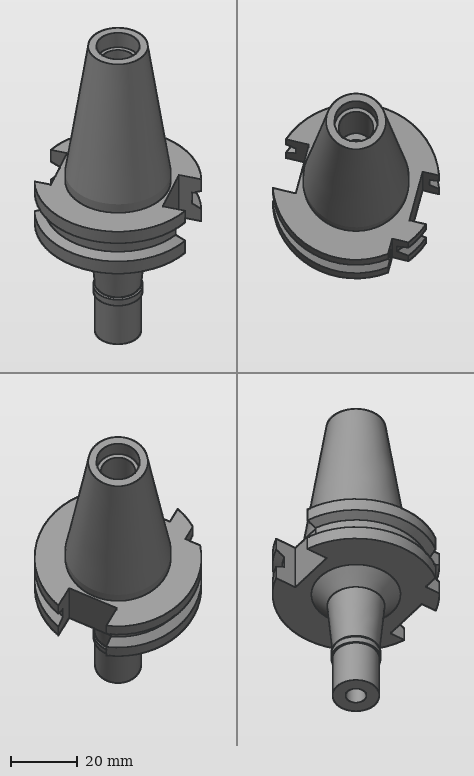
import cadquery as cq

OVERALL_LENGTH = 107.8
COOLANT_RADIUS = 3.1

TOOL_RADIUS = 7.0
TOOL_LENGTH = 15.0
COLLAR_RADIUS = 7.4
COLLAR_HEIGHT = 2.3
COLLAR_TOP = TOOL_LENGTH + COLLAR_HEIGHT

UNDERCUT_RADIUS = 6.5
UNDERCUT_HEIGHT = 0.6
NECK_BOTTOM = COLLAR_TOP + UNDERCUT_HEIGHT
NECK_BOTTOM_RADIUS = TOOL_RADIUS
NECK_TOP_RADIUS = 8.6
SHOULDER_RISE = 4.7
SHOULDER_TOP_RADIUS = NECK_TOP_RADIUS + SHOULDER_RISE

FLANGE_RADIUS = 25.0
FLANGE_BOTTOM = 40.9
FLANGE_TOP = 56.8
NECK_TOP = FLANGE_BOTTOM - SHOULDER_RISE
GROOVE_RADIUS = 22.2
GROOVE_CENTRE = 48.9
GROOVE_ROOT_WIDTH = 3.9
GROOVE_MOUTH_WIDTH = 6.9

SLOT_WIDTH = 16.1
LEFT_SLOT_FLOOR = 18.5
RIGHT_SLOT_FLOOR = 16.6
NOTCH_OFFSET = 15.0

GAUGE_HEIGHT = 60.0
GAUGE_RADIUS = 15.8
TAPER_TOP_RADIUS = 9.0
ENTRY_BORE_RADIUS = 6.5
ENTRY_BORE_DEPTH = 5.5
THREAD_BORE_RADIUS = 5.2
THREAD_BORE_DEPTH = 23.7


def tube(outer_radius, bottom, height):
    """Plain cylinder on the Z axis with the coolant channel through it."""
    return (
        cq.Workplane("XY")
        .workplane(offset=bottom)
        .circle(outer_radius)
        .circle(COOLANT_RADIUS)
        .extrude(height)
    )


def bore(radius, depth):
    """Cylinder that sinks from the top face of the taper."""
    return (
        cq.Workplane("XY")
        .workplane(offset=OVERALL_LENGTH)
        .circle(radius)
        .extrude(-depth)
    )


def flange_cutter(x_min, x_max, y_min, y_max):
    """Box that cuts through the full height of the flange."""
    return cq.Workplane("XY").box(
        x_max - x_min, y_max - y_min, FLANGE_TOP - FLANGE_BOTTOM, centered=False
    ).translate((x_min, y_min, FLANGE_BOTTOM))


def holder_blank():
    """Turned holder, solid inside: nose, grooved flange and taper."""
    half_mouth = GROOVE_MOUTH_WIDTH / 2
    half_root = GROOVE_ROOT_WIDTH / 2
    profile = [
        (0, COLLAR_TOP),
        (UNDERCUT_RADIUS, COLLAR_TOP),
        (UNDERCUT_RADIUS, NECK_BOTTOM),
        (NECK_BOTTOM_RADIUS, NECK_BOTTOM),
        (NECK_TOP_RADIUS, NECK_TOP),
        (SHOULDER_TOP_RADIUS, FLANGE_BOTTOM),
        (FLANGE_RADIUS, FLANGE_BOTTOM),
        (FLANGE_RADIUS, GROOVE_CENTRE - half_mouth),
        (GROOVE_RADIUS, GROOVE_CENTRE - half_root),
        (GROOVE_RADIUS, GROOVE_CENTRE + half_root),
        (FLANGE_RADIUS, GROOVE_CENTRE + half_mouth),
        (FLANGE_RADIUS, FLANGE_TOP),
        (GAUGE_RADIUS, FLANGE_TOP),
        (GAUGE_RADIUS, GAUGE_HEIGHT),
        (TAPER_TOP_RADIUS, OVERALL_LENGTH),
        (0, OVERALL_LENGTH),
    ]
    return cq.Workplane("XZ").polyline(profile).close().revolve(360, (0, 0), (0, 1))


def make_holder():
    """Holder with its drive slots, corner notch and stepped bore."""
    half_slot = SLOT_WIDTH / 2
    left_slot = flange_cutter(-FLANGE_RADIUS, -LEFT_SLOT_FLOOR, -half_slot, half_slot)
    right_slot = flange_cutter(RIGHT_SLOT_FLOOR, FLANGE_RADIUS, -half_slot, half_slot)
    notch = flange_cutter(-FLANGE_RADIUS, -NOTCH_OFFSET, NOTCH_OFFSET, FLANGE_RADIUS)
    return (
        holder_blank()
        .cut(left_slot)
        .cut(right_slot)
        .cut(notch)
        .cut(bore(ENTRY_BORE_RADIUS, ENTRY_BORE_DEPTH))
        .cut(bore(THREAD_BORE_RADIUS, THREAD_BORE_DEPTH))
        .cut(bore(COOLANT_RADIUS, OVERALL_LENGTH))
    )


def make_collar():
    """Thin ring between the holder nose and the tool."""
    return tube(COLLAR_RADIUS, TOOL_LENGTH, COLLAR_HEIGHT)


def make_tool():
    """Cylindrical tool below the collar."""
    return tube(TOOL_RADIUS, 0, TOOL_LENGTH)


holder = make_holder()
collar = make_collar()
tool = make_tool()

result = cq.Compound.makeCompound([holder.val(), collar.val(), tool.val()])